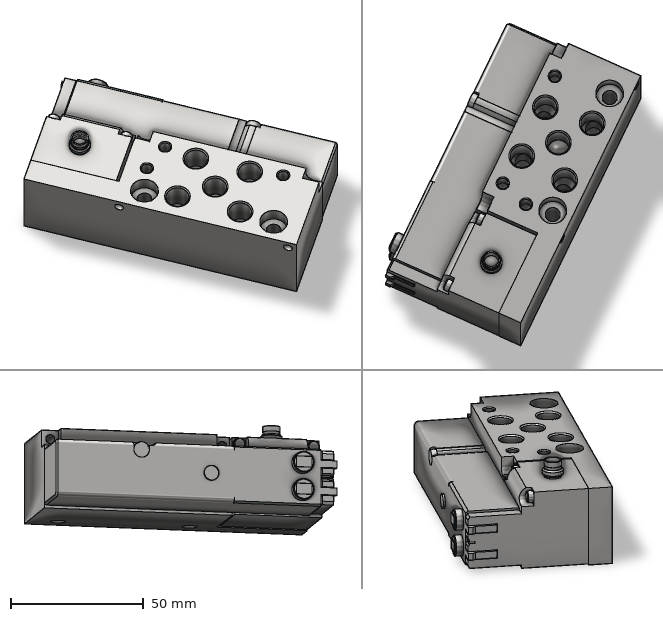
import cadquery as cq
import math


LENGTH = 107.2
HEIGHT = 30.7
MOUNT_FACE_Y = 34.8
FRONT_STRIP = 9.1
GAP_END_X = 34.7

PORT_D = 8.6
PORT_CHAMFER = 0.5
PORT_DEPTH = 10.8
DUCT_D = 6.0
DUCT_DEPTH = 19.5
DUCT_SHIFT = 1.2
REAR_PORT_Y = 27.3
FRONT_PORT_Y = 8.7
PORTS = [
    (59.6, REAR_PORT_Y, 1),
    (80.7, REAR_PORT_Y, -1),
    (57.8, FRONT_PORT_Y, -1),
    (82.5, FRONT_PORT_Y, 1),
]
SUPPLY_PORT = (70.2, 17.0)
DOME_R = 4.9
DOME_TOP_DEPTH = 8.5
PILOT_D = 4.1
PILOT_CHAMFER = 0.4
PILOT_DEPTH = 6.5
PILOT_HOLES = [(46.9, 29.3), (93.3, 29.3), (43.1, 17.9)]
DRILL_POINT_ANGLE = 118.0
MOUNT_HOLE_D = 5.5
MOUNT_SINK_D = 10.4
MOUNT_SINK_DEPTH = 5.5
MOUNT_HOLES = [(45.1, 7.7), (95.9, 7.7)]

TIE_HOLE_D = 3.4
TIE_Z = 27.3
TIE_X = [37.4, 103.8]
TIE_POCKET_D = 6.3
POCKET_DEPTH = 4.8
POCKET_FLOOR_Y = MOUNT_FACE_Y - POCKET_DEPTH

HOUSING_L = 33.6
HOUSING_BOTTOM = 0.4
REAR_ROUND_DEPTH = 2.7
REAR_ROUND_HEIGHT = 4.3
HOUSING_SCREW_INSET = 2.5
HOUSING_SCREW_X = [HOUSING_SCREW_INSET, HOUSING_L - HOUSING_SCREW_INSET]
HOUSING_SCREW_Z = 28.1
HOUSING_SCREW_D = 4.5
HOUSING_SCREW_LENGTH = 2.4
HOUSING_SCREW_CHAMFER = 0.3
HOUSING_POCKET_D = 5.9

ARM_THICKNESS = 4.3
MIDDLE_Z = 12.0
ARM_HALF_HEIGHT = 10.3
ARM_REAR_Y = 55.5
ARM_EDGE_SLOPE = 0.8
ARM_EDGE_HEIGHT = 1.2
ARM_NOTCH_DEPTH = 0.7
ARM_NOTCH_HALF = 0.9
ARM_SLIT_HEIGHT = 0.7
ARM_SLIT_START_Y = 52.8

VALVE_START_X = 4.9
VALVE_HALF_HEIGHT = 11.0
VALVE_TOP = MIDDLE_Z + VALVE_HALF_HEIGHT
VALVE_REAR_Y = 55.5
VALVE_SPLIT_X = 38.4
VALVE_ROUND = 1.8
VALVE_BEVEL_DEPTH = 1.2
VALVE_BEVEL_HEIGHT = 0.7
VALVE_END_CHAMFER = 0.8

GROOVE_LEFT_X = 68.5
GROOVE_SLOPE_X = 71.3
GROOVE_CREST_X = 73.0
GROOVE_RIGHT_X = 75.6
GROOVE_DEPTH = 1.3
GROOVE_SAG = 0.3
GROOVE_CREST_RISE = 0.1
GROOVE_LEFT_LIP = 0.3
GROOVE_RIGHT_LIP = 0.2

VALVE_SCREW_X = 74.2
VALVE_SCREW_D = 6.0
VALVE_SCREW_Z = VALVE_TOP - VALVE_SCREW_D / 2
VALVE_SCREW_START_Y = 53.3
VALVE_SCREW_END_Y = 55.5

OVERRIDE_SPACING = 10.4
OVERRIDE_Z = [MIDDLE_Z - OVERRIDE_SPACING / 2, MIDDLE_Z + OVERRIDE_SPACING / 2]
KNOB_X = 12.2
KNOB_D = 8.0
KNOB_END_Y = 58.6
KNOB_CHAMFER = 0.3
KNOB_GRIP_LENGTH = 6.0
KNOB_GRIP_WIDTH = 4.1
KNOB_TIP_Y = 59.0
CLIP_WIDTH = 2.7
CLIP_START_Y = 44.5
CLIP_PROUD = 0.3
HOOK_PROUD = 1.3
HOOK_SLOPE_START_Y = 52.6
HOOK_SLOPE_END_Y = 53.7
CLIP_SLOT_WIDTH = 3.4
CLIP_SLOT_START_Y = 44.2

BUTTON_X = 47.3
BUTTON_D = 5.6
BUTTON_HEIGHT = 0.8

CONNECTOR_X = 16.2
CONNECTOR_Y = 19.7
CONNECTOR_HEIGHT = 6.5
BODY_R = 6.6 / 2
NECK_R = 6.4 / 2
COLLAR_R = 4.0
COLLAR_EDGE_R = 3.5
BASE_HEIGHT = 0.7
COLLAR_LOW = 1.3
COLLAR_HIGH = 2.7
COLLAR_TOP = 3.4
NECK_TOP = 4.5
SOCKET_D = 5.5
SOCKET_DEPTH = 4.3


def block(x0, x1, y0, y1, z0, z1):
    """Box between two opposite corners."""
    return cq.Workplane("XY").box(x1 - x0, y1 - y0, z1 - z0, centered=False).translate((x0, y0, z0))


def rod_y(x, z, diameter, y0, y1):
    """Cylinder along Y."""
    start = cq.Vector(x, y0, z)
    return cq.Workplane(cq.Solid.makeCylinder(diameter / 2, y1 - y0, start, cq.Vector(0, 1, 0)))


def rod_down(x, y, diameter, depth):
    """Cylinder from the top face of the manifold downward."""
    start = cq.Vector(x, y, HEIGHT)
    return cq.Workplane(cq.Solid.makeCylinder(diameter / 2, depth, start, cq.Vector(0, 0, -1)))


def mouth_chamfer(x, y, diameter, chamfer):
    """Cone that bevels the mouth of a hole in the top face."""
    r = diameter / 2
    return cq.Workplane(
        cq.Solid.makeCone(r + chamfer, r, chamfer, cq.Vector(x, y, HEIGHT), cq.Vector(0, 0, -1))
    )


def drilled_hole(x, y, diameter, depth):
    """Blind hole with a conical drill point."""
    r = diameter / 2
    point = r / math.tan(math.radians(DRILL_POINT_ANGLE / 2))
    cone = cq.Solid.makeCone(r, 0, point, cq.Vector(x, y, HEIGHT - depth), cq.Vector(0, 0, -1))
    return rod_down(x, y, diameter, depth).union(cq.Workplane(cone))


def top_pocket_cut(x, z, diameter):
    """Round pocket in the rear edge, open to the top."""
    r = diameter / 2
    y0, y1 = POCKET_FLOOR_Y, MOUNT_FACE_Y
    return rod_y(x, z, diameter, y0, y1).union(block(x - r, x + r, y0, y1, z, HEIGHT))


def corner_pocket_cut(x, z, diameter, outer_x):
    """Round pocket in the rear edge, open to the top and to the side at outer_x."""
    side = block(
        min(x, outer_x), max(x, outer_x),
        POCKET_FLOOR_Y, MOUNT_FACE_Y,
        z - diameter / 2, HEIGHT,
    )
    return top_pocket_cut(x, z, diameter).union(side)


def make_manifold():
    body = block(0, LENGTH, 0, FRONT_STRIP, 0, HEIGHT)
    body = body.union(block(GAP_END_X, LENGTH, 0, MOUNT_FACE_Y, 0, HEIGHT))

    for x, y, direction in PORTS:
        body = body.cut(drilled_hole(x, y, PORT_D, PORT_DEPTH))
        body = body.cut(drilled_hole(x + direction * DUCT_SHIFT, y, DUCT_D, DUCT_DEPTH))
        body = body.cut(mouth_chamfer(x, y, PORT_D, PORT_CHAMFER))

    x, y = SUPPLY_PORT
    dome = cq.Workplane("XY").sphere(DOME_R).translate((x, y, HEIGHT - DOME_TOP_DEPTH - DOME_R))
    body = body.cut(rod_down(x, y, PORT_D, PORT_DEPTH).cut(dome))
    body = body.cut(mouth_chamfer(x, y, PORT_D, PORT_CHAMFER))

    for x, y in PILOT_HOLES:
        body = body.cut(drilled_hole(x, y, PILOT_D, PILOT_DEPTH))
        body = body.cut(mouth_chamfer(x, y, PILOT_D, PILOT_CHAMFER))

    for x, y in MOUNT_HOLES:
        body = body.cut(rod_down(x, y, MOUNT_HOLE_D, HEIGHT))
        body = body.cut(rod_down(x, y, MOUNT_SINK_D, MOUNT_SINK_DEPTH))

    for x in TIE_X:
        body = body.cut(rod_y(x, TIE_Z, TIE_HOLE_D, 0, MOUNT_FACE_Y))
    left_x, right_x = TIE_X
    body = body.cut(top_pocket_cut(left_x, TIE_Z, TIE_POCKET_D))
    return body.cut(corner_pocket_cut(right_x, TIE_Z, TIE_POCKET_D, LENGTH))


def make_arm():
    """Plate over the left end of the valve, slotted for the override clips."""
    top = ARM_HALF_HEIGHT
    edge = top - ARM_EDGE_HEIGHT
    notch = ARM_NOTCH_HALF
    edge_y = ARM_REAR_Y - ARM_EDGE_SLOPE
    notch_y = ARM_REAR_Y - ARM_NOTCH_DEPTH
    outline = [
        (MOUNT_FACE_Y, -top),
        (edge_y, -top),
        (ARM_REAR_Y, -edge),
        (ARM_REAR_Y, -notch - ARM_NOTCH_DEPTH),
        (notch_y, -notch),
        (notch_y, notch),
        (ARM_REAR_Y, notch + ARM_NOTCH_DEPTH),
        (ARM_REAR_Y, edge),
        (edge_y, top),
        (MOUNT_FACE_Y, top),
    ]
    arm = cq.Workplane("YZ").polyline(outline).close().extrude(ARM_THICKNESS).translate((0, 0, MIDDLE_Z))
    slots = [(z, CLIP_SLOT_WIDTH, CLIP_SLOT_START_Y) for z in OVERRIDE_Z]
    slots.append((MIDDLE_Z, ARM_SLIT_HEIGHT, ARM_SLIT_START_Y))
    for z, width, start_y in slots:
        arm = arm.cut(block(0, ARM_THICKNESS, start_y, ARM_REAR_Y, z - width / 2, z + width / 2))
    return arm


def make_housing():
    depth, height = REAR_ROUND_DEPTH, REAR_ROUND_HEIGHT
    round_r = (depth ** 2 + height ** 2) / (2 * depth)
    half_angle = math.asin(height / round_r) / 2
    arc_middle = (
        MOUNT_FACE_Y - round_r * (1 - math.cos(half_angle)),
        HEIGHT - height + round_r * math.sin(half_angle),
    )
    body = (
        cq.Workplane("YZ")
        .moveTo(FRONT_STRIP, HOUSING_BOTTOM)
        .lineTo(MOUNT_FACE_Y, HOUSING_BOTTOM)
        .lineTo(MOUNT_FACE_Y, HEIGHT - height)
        .threePointArc(arc_middle, (MOUNT_FACE_Y - depth, HEIGHT))
        .lineTo(FRONT_STRIP, HEIGHT)
        .close()
        .extrude(HOUSING_L)
    )
    for x, outer_x in zip(HOUSING_SCREW_X, (0, HOUSING_L)):
        body = body.cut(corner_pocket_cut(x, HOUSING_SCREW_Z, HOUSING_POCKET_D, outer_x))
    return body.union(make_arm())


def make_housing_screw(x):
    """Screw head on the floor of a housing pocket."""
    end_y = POCKET_FLOOR_Y + HOUSING_SCREW_LENGTH
    return rod_y(x, HOUSING_SCREW_Z, HOUSING_SCREW_D, POCKET_FLOOR_Y, end_y).faces(">Y").chamfer(
        HOUSING_SCREW_CHAMFER
    )


def make_connector():
    outline = [
        (0, 0),
        (BODY_R, 0),
        (BODY_R, BASE_HEIGHT),
        (COLLAR_EDGE_R, BASE_HEIGHT),
        (COLLAR_R, COLLAR_LOW),
        (COLLAR_R, COLLAR_HIGH),
        (COLLAR_EDGE_R, COLLAR_TOP),
        (NECK_R, COLLAR_TOP),
        (NECK_R, NECK_TOP),
        (BODY_R, NECK_TOP),
        (BODY_R, CONNECTOR_HEIGHT),
        (0, CONNECTOR_HEIGHT),
    ]
    body = cq.Workplane("XZ").polyline(outline).close().revolve(360, (0, 0, 0), (0, 1, 0))
    body = body.faces(">Z").workplane().hole(SOCKET_D, SOCKET_DEPTH)
    return body.translate((CONNECTOR_X, CONNECTOR_Y, HEIGHT))


def valve_section(x0, x1):
    return block(x0, x1, MOUNT_FACE_Y, VALVE_REAR_Y, MIDDLE_Z - VALVE_HALF_HEIGHT, VALVE_TOP)


def groove_cut():
    """Groove across the valve: hollow on the left, slope, then a rounded crest."""
    floor = VALVE_TOP - GROOVE_DEPTH
    left = VALVE_TOP - GROOVE_LEFT_LIP
    right = VALVE_TOP - GROOVE_RIGHT_LIP
    hollow = ((GROOVE_LEFT_X + GROOVE_SLOPE_X) / 2, (left + floor) / 2 - GROOVE_SAG)
    crest = ((GROOVE_CREST_X + GROOVE_RIGHT_X) / 2, right + GROOVE_CREST_RISE)
    return (
        cq.Workplane("XZ", origin=(0, VALVE_REAR_Y, 0))
        .moveTo(GROOVE_LEFT_X, VALVE_TOP)
        .lineTo(GROOVE_LEFT_X, left)
        .threePointArc(hollow, (GROOVE_SLOPE_X, floor))
        .lineTo(GROOVE_CREST_X, right)
        .threePointArc(crest, (GROOVE_RIGHT_X, right))
        .lineTo(GROOVE_RIGHT_X, VALVE_TOP)
        .close()
        .extrude(VALVE_REAR_Y - MOUNT_FACE_Y)
    )


def make_valve_screw():
    """Screw head at the rear of the valve."""
    return rod_y(VALVE_SCREW_X, VALVE_SCREW_Z, VALVE_SCREW_D, VALVE_SCREW_START_Y, VALVE_SCREW_END_Y)


def make_knob(z):
    knob = rod_y(KNOB_X, z, KNOB_D, VALVE_REAR_Y, KNOB_END_Y).faces(">Y").chamfer(KNOB_CHAMFER)
    half_l, half_w = KNOB_GRIP_LENGTH / 2, KNOB_GRIP_WIDTH / 2
    return knob.union(
        block(KNOB_X - half_l, KNOB_X + half_l, VALVE_REAR_Y, KNOB_TIP_Y, z - half_w, z + half_w)
    )


def make_clip(z):
    """Clip from the valve out through the arm, with a hook at its rear end."""
    outline = [
        (VALVE_START_X, CLIP_START_Y),
        (-CLIP_PROUD, CLIP_START_Y),
        (-CLIP_PROUD, HOOK_SLOPE_START_Y),
        (-HOOK_PROUD, HOOK_SLOPE_END_Y),
        (-HOOK_PROUD, VALVE_REAR_Y),
        (VALVE_START_X, VALVE_REAR_Y),
    ]
    clip = cq.Workplane("XY").polyline(outline).close().extrude(CLIP_WIDTH)
    return clip.translate((0, 0, z - CLIP_WIDTH / 2))


def make_valve():
    left = valve_section(VALVE_START_X, VALVE_SPLIT_X)
    left = left.faces(">Y").edges("|X").chamfer(VALVE_BEVEL_HEIGHT, VALVE_BEVEL_DEPTH)
    right = valve_section(VALVE_SPLIT_X, LENGTH)
    right = right.faces(">Y").edges("|X").fillet(VALVE_ROUND)
    right = right.faces(">X").edges(">Z").chamfer(VALVE_END_CHAMFER)
    body = left.union(right).cut(groove_cut())

    screw_r = VALVE_SCREW_D / 2
    body = body.cut(make_valve_screw())
    body = body.cut(
        block(
            VALVE_SCREW_X - screw_r, VALVE_SCREW_X + screw_r,
            VALVE_SCREW_START_Y, VALVE_SCREW_END_Y,
            VALVE_SCREW_Z, VALVE_TOP,
        )
    )

    body = body.union(rod_y(BUTTON_X, MIDDLE_Z, BUTTON_D, VALVE_REAR_Y, VALVE_REAR_Y + BUTTON_HEIGHT))
    for z in OVERRIDE_Z:
        body = body.union(make_knob(z)).union(make_clip(z))
    return body


manifold = make_manifold()
housing = make_housing()
connector = make_connector()
valve = make_valve()
valve_screw = make_valve_screw()
housing_screws = [make_housing_screw(x) for x in HOUSING_SCREW_X]

result = cq.Compound.makeCompound([
    manifold.solids().val(),
    housing.solids().val(),
    connector.solids().val(),
    valve.solids().val(),
    valve_screw.solids().val(),
    *[screw.solids().val() for screw in housing_screws],
])